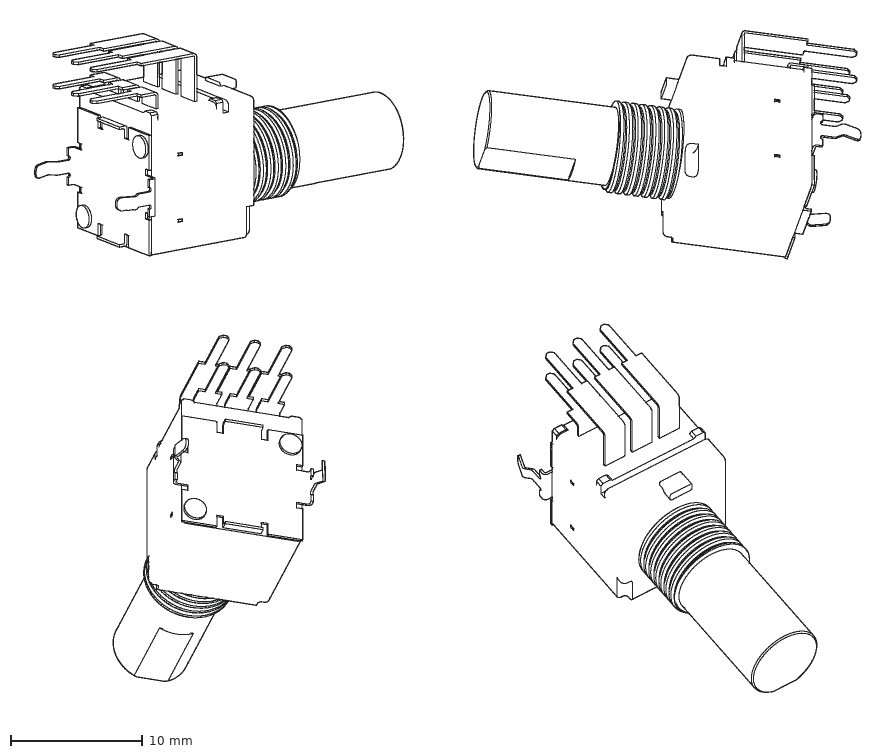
import cadquery as cq

HOUSING_WIDTH = 9.57
HOUSING_TOP = 6.27
HOUSING_BOTTOM = -4.87
HOUSING_BACK = -9.68
COVER_BACK = -2.52
GANG_SEAM = -6.65
EDGE_ROUND = 0.43
FRONT_ROUND = 0.4
GROOVE_WIDTH = 0.52
GROOVE_FLOOR = 5.41
HALF_WIDTH = HOUSING_WIDTH / 2
FIRST_GANG_FRONT = COVER_BACK - GROOVE_WIDTH

TONGUE_LENGTH = 0.55
TONGUE_TOP = 2.7
TONGUE_BOTTOM = -2.35
TONGUE_DEPTH = 0.43
RELIEF_LENGTH = 0.4
RELIEF_HEIGHT = 0.2
RELIEF_DEPTH = 0.11

PAD_WIDTH = 1.05
PAD_LENGTH = 0.6
PAD_RISE = 0.17
PAD_SLOPE = 0.2

TAB_WIDTH = 2.0
TAB_FRONT = 0.8
TAB_BACK = -0.7
TAB_TOP = 6.55
TAB_HEIGHT = 0.72
TAB_ROUND = 0.17

NOTCH_WIDTH = 0.85
NOTCH_LENGTH = 0.85
NOTCH_TOP = -2.35
NOTCH_ROUND = 0.32

BUSHING_LENGTH = 4.99
THREAD_RADIUS = 3.5
CORE_RADIUS = 3.3
THREAD_PITCH = 0.7
THREAD_ROOT = 0.63
THREAD_CREST = 0.25
THREAD_SINK = 0.03
THREAD_START = -0.35

SHAFT_RADIUS = 3.0
SHAFT_TIP = 14.98
SHAFT_CHAMFER = 0.11
FLAT_START = 7.96
FLAT_HEIGHT = -2.7

SHEET = 0.2
BEND_RADIUS = 0.32
PLATE_TOP = 4.73
PLATE_BOTTOM = -4.78
PLATE_BACK = HOUSING_BACK - SHEET
HOOK_WIDTH = 3.0
HOOK_END = -10.37
HOOK_ROUND = 0.15
HOOK_SLOT_WIDTH = 0.52
HOOK_SLOT_DEPTH = 0.97
STAKE_RADIUS = 0.875
STAKE_X = 3.78
STAKE_Z = 3.65
STAKE_END = -10.1

LEG_X = 5.5
LEG_KNEE_SPAN = 12.0
LEG_KNEE_X = LEG_KNEE_SPAN / 2
LEG_TIP_X = 5.5
LEG_BEND_Y = -11.37
LEG_KNEE_Y = -11.9
LEG_TIP_Y = -13.35
SHOULDER_HEIGHT = 2.95
LEG_HEIGHT = 1.03
LEG_TIP_ROUND = 0.37
LEG_SLOT_DEPTH = 0.5
LEG_SLOT_HEIGHT = 0.5
LEG_RELIEF_RADIUS = 0.17

TERMINAL_PITCH = 2.5
TERMINAL_WIDTH = 1.83
PIN_WIDTH = 0.8
PIN_CHAMFER = 0.25
TERMINAL_TIP = -13.67
TERMINAL_ROWS = [(-4.53, 10.08), (-8.1, 7.6)]


def block(x_range, y_range, z_range):
    """Box between the given pairs of coordinates."""
    size = [high - low for low, high in (x_range, y_range, z_range)]
    corner = (x_range[0], y_range[0], z_range[0])
    return cq.Workplane("XY").box(*size, centered=False).translate(corner)


def cylinder(radius, y_start, y_end, x=0, z=0):
    """Cylinder along Y between two Y coordinates."""
    plane = cq.Workplane("XZ", origin=(x, y_start, z))
    return plane.circle(radius).extrude(y_start - y_end)


def round_edge(shape, direction, point, radius):
    """Fillet the edge of the given direction whose middle is nearest to the point."""
    nearest = cq.selectors.NearestToPointSelector(point)
    return shape.edges(direction).edges(nearest).fillet(radius)


def both_sides(shape):
    """The shape and its mirror image across the plane X = 0."""
    return shape, shape.mirror("YZ")


def gang_block(y_back, y_front):
    """Length of the housing body with its long edges rounded."""
    body = block((-HALF_WIDTH, HALF_WIDTH), (y_back, y_front), (HOUSING_BOTTOM, HOUSING_TOP))
    return body.edges("|Y").fillet(EDGE_ROUND)


def corner_pad(y_front):
    """Square raised pad at the -X top edge, sloping on both sides."""
    x_outer = -HALF_WIDTH
    x_inner = x_outer + PAD_WIDTH
    top = HOUSING_TOP + PAD_RISE
    outline = [
        (x_outer, HOUSING_TOP - EDGE_ROUND),
        (x_outer, HOUSING_TOP),
        (x_outer + PAD_SLOPE, top),
        (x_inner - PAD_SLOPE, top),
        (x_inner, HOUSING_TOP),
        (x_inner, HOUSING_TOP - EDGE_ROUND),
    ]
    plane = cq.Workplane("XZ", origin=(0, y_front, 0))
    return plane.polyline(outline).close().extrude(PAD_LENGTH)


def make_bushing():
    """Bushing core with a helical thread ridge, cut flat at its open end and bored for the shaft."""
    thread_length = BUSHING_LENGTH + THREAD_PITCH - THREAD_START
    helix = cq.Wire.makeHelix(THREAD_PITCH, thread_length, CORE_RADIUS)
    root_radius = CORE_RADIUS - THREAD_SINK
    outline = [
        (root_radius, -THREAD_ROOT / 2),
        (THREAD_RADIUS, -THREAD_CREST / 2),
        (THREAD_RADIUS, THREAD_CREST / 2),
        (root_radius, THREAD_ROOT / 2),
    ]
    ridge = cq.Workplane("XZ").polyline(outline).close().sweep(cq.Workplane(helix), isFrenet=True)
    ridge = ridge.rotate((0, 0, 0), (1, 0, 0), -90).translate((0, THREAD_START, 0))
    reach = (-2 * THREAD_RADIUS, 2 * THREAD_RADIUS)
    ridge = ridge.cut(block(reach, (BUSHING_LENGTH, 2 * BUSHING_LENGTH), reach))
    bushing = cylinder(CORE_RADIUS, 0, BUSHING_LENGTH).union(ridge)
    return bushing.cut(cylinder(SHAFT_RADIUS, 0, BUSHING_LENGTH))


def make_cover():
    """Front cover with rounded front edges, corner notches, locating tab and bushing."""
    cover = gang_block(COVER_BACK, 0).faces(">Y").edges().fillet(FRONT_ROUND)
    notch = block(
        (-HALF_WIDTH, -HALF_WIDTH + NOTCH_WIDTH), (-NOTCH_LENGTH, 0), (HOUSING_BOTTOM, NOTCH_TOP)
    )
    notch = notch.edges("(|Y and >X and >Z) or (|Z and >X and <Y)").fillet(NOTCH_ROUND)
    for corner in both_sides(notch):
        cover = cover.cut(corner)
    tab = block((-TAB_WIDTH / 2, TAB_WIDTH / 2), (TAB_BACK, TAB_FRONT), (TAB_TOP - TAB_HEIGHT, TAB_TOP))
    return cover.union(tab.edges("|Y").fillet(TAB_ROUND)).union(make_bushing())


def make_gangs():
    """First and second gang, joined by the tongues in the side walls."""
    first = gang_block(GANG_SEAM, COVER_BACK)
    second = gang_block(HOUSING_BACK, GANG_SEAM)
    groove = block((-HALF_WIDTH, HALF_WIDTH), (FIRST_GANG_FRONT, COVER_BACK), (GROOVE_FLOOR, HOUSING_TOP))
    first = first.cut(groove)
    for pad in both_sides(corner_pad(FIRST_GANG_FRONT)):
        first = first.union(pad)
    for pad in both_sides(corner_pad(HOUSING_BACK + PAD_LENGTH)):
        second = second.union(pad)
    tongue_end = GANG_SEAM - TONGUE_LENGTH
    tongue = block(
        (-HALF_WIDTH, -HALF_WIDTH + TONGUE_DEPTH), (tongue_end, GANG_SEAM), (TONGUE_BOTTOM, TONGUE_TOP)
    )
    for side in both_sides(tongue):
        first = first.union(side)
        second = second.cut(side)
    for z_low in (TONGUE_TOP, TONGUE_BOTTOM - RELIEF_HEIGHT):
        relief = block(
            (-HALF_WIDTH, -HALF_WIDTH + RELIEF_DEPTH),
            (tongue_end, tongue_end + RELIEF_LENGTH),
            (z_low, z_low + RELIEF_HEIGHT),
        )
        for side in both_sides(relief):
            second = second.cut(side)
    return first, second


def make_stakes():
    """Two round stakes on the back of the housing, at opposite corners."""
    return [cylinder(STAKE_RADIUS, STAKE_END, HOUSING_BACK, s * STAKE_X, s * STAKE_Z) for s in (-1, 1)]


def make_housing():
    """One solid; the seam lines between its three lengths are kept on the surface."""
    housing = make_cover()
    for part in (*make_gangs(), *make_stakes()):
        housing = housing.union(part, clean=False)
    return housing


def make_shaft():
    """Round shaft with a chamfered tip and a flat on its lower side."""
    shaft = cylinder(SHAFT_RADIUS, 0, SHAFT_TIP).faces(">Y").chamfer(SHAFT_CHAMFER)
    flat = block((-SHAFT_RADIUS, SHAFT_RADIUS), (FLAT_START, SHAFT_TIP), (-SHAFT_RADIUS, FLAT_HEIGHT))
    return shaft.cut(flat)


def make_leg():
    """Snap-in leg on the -X side: a bent strip trimmed to its side outline."""
    outer_line = [
        (-HALF_WIDTH, HOUSING_BACK),
        (-LEG_X, HOUSING_BACK),
        (-LEG_X, LEG_BEND_Y),
        (-LEG_KNEE_X, LEG_KNEE_Y),
        (-LEG_TIP_X, LEG_TIP_Y),
    ]
    inner_line = [
        (-LEG_TIP_X + SHEET, LEG_TIP_Y),
        (-LEG_KNEE_X + SHEET, LEG_KNEE_Y),
        (-LEG_X + SHEET, LEG_BEND_Y),
        (-LEG_X + SHEET, PLATE_BACK),
        (-HALF_WIDTH, PLATE_BACK),
    ]
    half_shoulder = SHOULDER_HEIGHT / 2
    half_leg = LEG_HEIGHT / 2
    strip = cq.Workplane("XY", origin=(0, 0, -half_shoulder))
    strip = strip.polyline(outer_line + inner_line).close().extrude(SHOULDER_HEIGHT)
    outer_bends = [(-LEG_X, HOUSING_BACK), (-LEG_X + SHEET, LEG_BEND_Y), (-LEG_KNEE_X, LEG_KNEE_Y)]
    inner_bends = [(-LEG_X + SHEET, PLATE_BACK), (-LEG_X, LEG_BEND_Y), (-LEG_KNEE_X + SHEET, LEG_KNEE_Y)]
    for x, y in outer_bends:
        strip = round_edge(strip, "|Z", (x, y, 0), BEND_RADIUS)
    for x, y in inner_bends:
        strip = round_edge(strip, "|Z", (x, y, 0), BEND_RADIUS - SHEET)

    x_range = (-LEG_KNEE_X, -HALF_WIDTH)
    shoulder = block(x_range, (HOOK_END, HOUSING_BACK), (-half_shoulder, half_shoulder))
    prong = block(x_range, (LEG_TIP_Y, HOOK_END), (-half_leg, half_leg))
    outline = shoulder.union(prong.edges("|X and <Y").fillet(LEG_TIP_ROUND))
    for side in (-1, 1):
        relief = cq.Workplane("YZ", origin=(-LEG_KNEE_X, HOOK_END, side * (half_leg + LEG_RELIEF_RADIUS)))
        outline = outline.cut(relief.circle(LEG_RELIEF_RADIUS).extrude(LEG_KNEE_X))
    return strip.intersect(outline)


def make_back_plate():
    """Slotted sheet with a hook at the top and bottom and a leg on each side."""
    half_hook = HOOK_WIDTH / 2
    y_range = (PLATE_BACK, HOUSING_BACK)
    plate = block((-HALF_WIDTH, HALF_WIDTH), y_range, (PLATE_BOTTOM, PLATE_TOP))
    hook_slot = (-half_hook - HOOK_SLOT_WIDTH, -half_hook)
    slots = [
        block(hook_slot, y_range, (PLATE_TOP - HOOK_SLOT_DEPTH, PLATE_TOP)),
        block(hook_slot, y_range, (PLATE_BOTTOM, PLATE_BOTTOM + HOOK_SLOT_DEPTH)),
    ]
    half_shoulder = SHOULDER_HEIGHT / 2
    leg_slot = (-HALF_WIDTH, -HALF_WIDTH + LEG_SLOT_DEPTH)
    for z_low in (half_shoulder, -half_shoulder - LEG_SLOT_HEIGHT):
        slots.append(block(leg_slot, y_range, (z_low, z_low + LEG_SLOT_HEIGHT)))
    for slot in slots:
        for side in both_sides(slot):
            plate = plate.cut(side)
    for z_outer, z_inner in ((PLATE_TOP, PLATE_TOP - SHEET), (PLATE_BOTTOM, PLATE_BOTTOM + SHEET)):
        z_range = sorted((z_outer, z_inner))
        plate = plate.union(block((-half_hook, half_hook), (HOOK_END, HOUSING_BACK), z_range))
        plate = round_edge(plate, "|X", (0, HOUSING_BACK, z_outer), HOOK_ROUND)
        plate = round_edge(plate, "|X", (0, PLATE_BACK, z_inner), HOOK_ROUND)
    for leg in both_sides(make_leg()):
        plate = plate.union(leg)
    for stake in make_stakes():
        plate = plate.cut(stake)
    return plate


def make_terminal(x, y_front, z_top):
    """Bent terminal: it rises from the housing top, turns to -Y and narrows to a pin."""
    profile = [
        (y_front, HOUSING_TOP),
        (y_front, z_top),
        (TERMINAL_TIP, z_top),
        (TERMINAL_TIP, z_top - SHEET),
        (y_front - SHEET, z_top - SHEET),
        (y_front - SHEET, HOUSING_TOP),
    ]
    half_width = TERMINAL_WIDTH / 2
    strip = cq.Workplane("YZ").polyline(profile).close().extrude(half_width, both=True)
    strip = round_edge(strip, "|X", (0, y_front, z_top), BEND_RADIUS)
    strip = round_edge(strip, "|X", (0, y_front - SHEET, z_top - SHEET), BEND_RADIUS - SHEET)

    z_range = (HOUSING_TOP, z_top)
    wide = block((-half_width, half_width), (HOUSING_BACK, y_front), z_range)
    pin = block((-PIN_WIDTH / 2, PIN_WIDTH / 2), (TERMINAL_TIP, HOUSING_BACK), z_range)
    outline = wide.union(pin.edges("|Z and <Y").chamfer(PIN_CHAMFER))
    return strip.intersect(outline).translate((x, 0, 0))


housing = make_housing()
shaft = make_shaft()
back_plate = make_back_plate()
terminals = [
    make_terminal(column * TERMINAL_PITCH, y_front, z_top)
    for y_front, z_top in TERMINAL_ROWS
    for column in (-1, 0, 1)
]

result = cq.Compound.makeCompound(
    [housing.val(), shaft.val(), back_plate.val(), *[terminal.val() for terminal in terminals]]
)